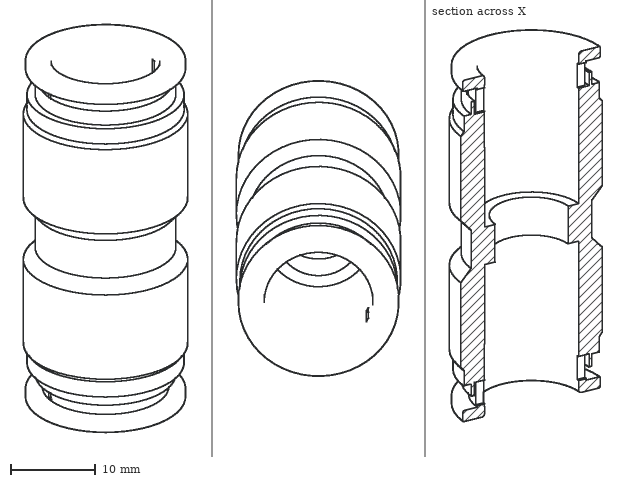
import cadquery as cq

length = 44.7
half_length = length / 2

body_diameter = 19.5
flange_diameter = 19.0
shoulder_diameter = 18.65
waist_diameter = 16.67
collar_diameter = waist_diameter
neck_diameter = 14.97

flange_depth = 1.5
collar_depth = 3.1
shoulder_depth = 4.7
bevel_depth = 6.7
body_depth = 7.25
taper_depth = 18.33

waist_length = 4.95
waist_depth = (length - waist_length) / 2

flange_fillet = 0.3
collar_fillet = 0.15

through_diameter = 10.0
socket_diameter = 12.87
socket_depth = waist_depth
mouth_fillet = 0.45

slot_width = 0.55
slot_start_depth = 1.7
slot_length = 3.1
slot_end_depth = slot_start_depth + slot_length

clearance_diameter = 15.75


def disc(diameter, start_depth, end_depth):
    """Cylinder between two depths below the top face."""
    return (
        cq.Workplane("XY")
        .workplane(offset=half_length - end_depth)
        .circle(diameter / 2)
        .extrude(end_depth - start_depth)
    )


def cone(top_diameter, bottom_diameter, start_depth, end_depth):
    """Conical band between two depths below the top face."""
    return (
        cq.Workplane("XY")
        .workplane(offset=half_length - end_depth)
        .circle(bottom_diameter / 2)
        .workplane(offset=end_depth - start_depth)
        .circle(top_diameter / 2)
        .loft(ruled=True)
    )


def outer_half():
    """Stepped outside of the upper half, from the flange down to the waist."""
    flange = disc(flange_diameter, 0, flange_depth).edges().fillet(flange_fillet)
    neck = disc(neck_diameter, flange_depth, collar_depth)
    collar = disc(collar_diameter, collar_depth, shoulder_depth).faces(">Z").edges().fillet(collar_fillet)
    shoulder = disc(shoulder_diameter, shoulder_depth, bevel_depth)
    bevel = cone(shoulder_diameter, body_diameter, bevel_depth, body_depth)
    body = disc(body_diameter, body_depth, taper_depth)
    taper = cone(body_diameter, waist_diameter, taper_depth, waist_depth)

    outside = flange
    for section in (neck, collar, shoulder, bevel, body, taper):
        outside = outside.union(section)
    return outside


def socket_half():
    """Tube socket of the upper half with its mouth flared by a rounded lip."""
    socket_radius = socket_diameter / 2
    lip_radius = socket_radius + mouth_fillet
    profile = (
        cq.Workplane("XZ")
        .moveTo(0, half_length - socket_depth)
        .lineTo(socket_radius, half_length - socket_depth)
        .lineTo(socket_radius, half_length - mouth_fillet)
        .radiusArc((lip_radius, half_length), mouth_fillet)
        .lineTo(0, half_length)
        .close()
    )
    return profile.revolve(360, (0, 0), (0, 1))


def clearance_half():
    """Ring-shaped gap of the upper half, open at the collar rim."""
    gap = disc(clearance_diameter, collar_depth, slot_end_depth)
    return gap.cut(disc(neck_diameter, collar_depth, slot_end_depth))


def sleeve_slots():
    """Slots along Y that pass through the sleeve wall and open into the clearance."""
    sleeve = disc(neck_diameter, slot_start_depth, slot_end_depth)
    slab = (
        cq.Workplane("XY")
        .workplane(offset=half_length - slot_end_depth)
        .rect(slot_width, body_diameter)
        .extrude(slot_length)
    )
    return slab.intersect(sleeve)


def both_halves(upper):
    """Upper-half feature together with its mirror image below mid-height."""
    return upper.union(upper.mirror("XY"))


waist = disc(waist_diameter, waist_depth, length - waist_depth)
through_bore = disc(through_diameter, 0, length)

result = (
    waist.union(both_halves(outer_half()))
    .cut(through_bore)
    .cut(both_halves(socket_half()))
    .cut(both_halves(clearance_half()))
    .cut(both_halves(sleeve_slots()))
)